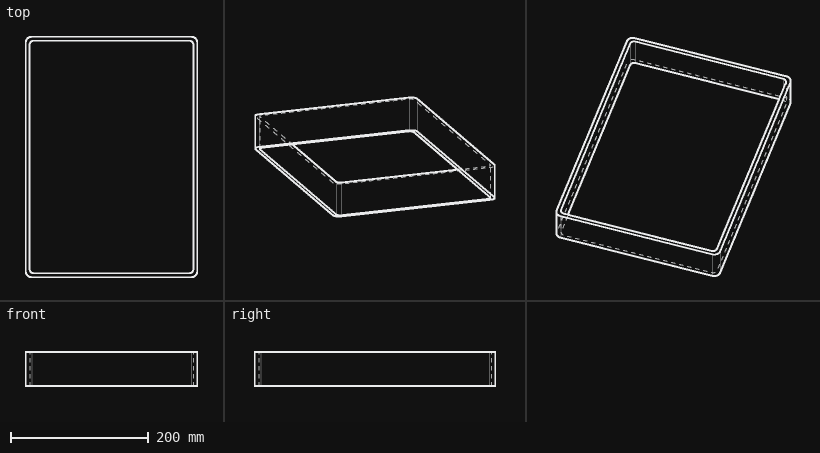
import cadquery as cq

LENGTH_X = 250.0
LENGTH_Y = 350.0
HEIGHT = 50.0
WALL = 6.0
OUTER_RADIUS = 9.0
INNER_RADIUS = 6.0


def rounded_block(size_x, size_y, corner_radius):
    """Block standing on Z = 0 with rounded vertical edges."""
    block = cq.Workplane("XY").rect(size_x, size_y).extrude(HEIGHT)
    return block.edges("|Z").fillet(corner_radius)


outer_block = rounded_block(LENGTH_X, LENGTH_Y, OUTER_RADIUS)
opening = rounded_block(LENGTH_X - 2 * WALL, LENGTH_Y - 2 * WALL, INNER_RADIUS)

result = outer_block.cut(opening)